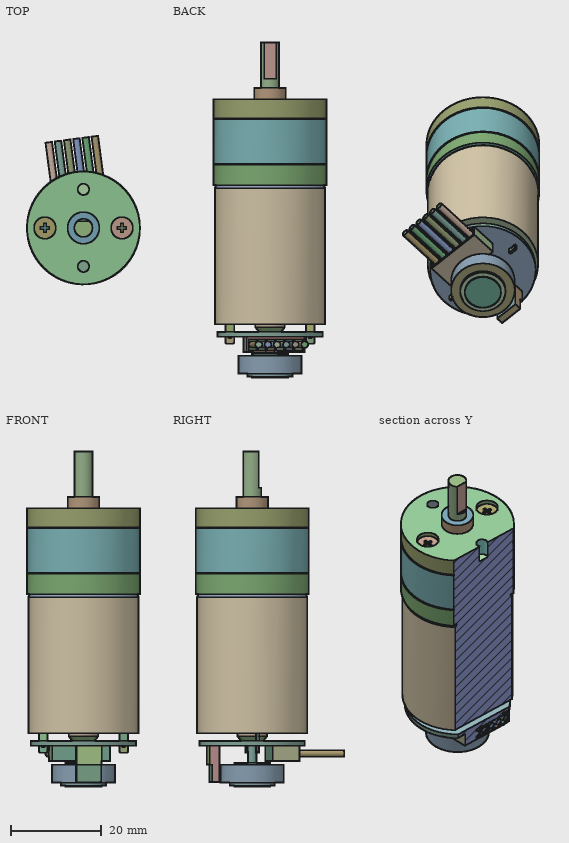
import cadquery as cq
import math


shaft_diameter = 4.0
shaft_length = 12.5
shaft_flat_depth = 0.5
shaft_flat_length = 8.0
boss_diameter = 7.0
boss_height = 2.5

gearbox_diameter = 25.0
gearbox_length = 19.0
front_plate_thickness = 4.3
gear_ring_length = 10.1
joint_width = 0.2
joint_depth = 0.1

hole_circle_radius = 8.5
mount_hole_diameter = 2.5
screw_recess_diameter = 4.8
screw_recess_depth = 1.0
cross_length = 2.0
cross_width = 0.5
cross_depth = 0.5

can_diameter = 24.4
can_bottom_z = -49.7
can_shoulder_height = 0.7
can_shoulder_inset = 0.3
bearing_diameter = 6.6
bearing_rim_height = 0.6
bearing_tip_diameter = 5.0

board_angle = 7.5
board_diameter = 23.3
board_top_z = -51.35
board_thickness = 1.15
board_bottom_z = board_top_z - board_thickness

terminal_radius = 8.95
terminal_width = 1.9
terminal_thickness = 0.5
terminal_protrusion = 1.5
terminal_eye_diameter = 0.9
terminal_eye_rise = 0.2
terminal_corner = 0.2

connector_width = 12.85
connector_depth = 6.0
connector_height = 3.35
connector_center_y = 6.7
wire_count = 6
wire_pitch = 2.05
wire_diameter = 1.5
socket_width = 1.75
socket_height = 2.4
socket_depth = 1.0
overall_depth = 32.85

sensor_width = 5.5
sensor_inner_y = -7.6
sensor_depth = 2.2
sensor_tip_depth = 1.6
sensor_step_z = -56.6
sensor_bottom_z = -60.45

rear_shaft_diameter = 1.9
magnet_diameter = 14.0
magnet_top_z = -56.6
magnet_bottom_z = -60.6
hub_diameter = 8.0
hub_top_z = -56.2
hub_bottom_z = -61.5
washer_diameter = 10.0
washer_bottom_z = -61.25


def cylinder(diameter, bottom_z, top_z):
    """Upright cylinder on the motor axis."""
    height = top_z - bottom_z
    return cq.Workplane("XY").workplane(offset=bottom_z).circle(diameter / 2).extrude(height)


def block(size_x, y_min, y_max, bottom_z, top_z):
    """Rectangular block centred on x = 0."""
    size_y = y_max - y_min
    size_z = top_z - bottom_z
    corner = (-size_x / 2, y_min, bottom_z)
    return cq.Workplane("XY").box(size_x, size_y, size_z, centered=False).translate(corner)


def make_output_shaft():
    shaft = cylinder(shaft_diameter, 0, shaft_length)
    flat_y = shaft_diameter / 2 - shaft_flat_depth
    flat_start_z = shaft_length - shaft_flat_length
    flat = block(shaft_diameter, flat_y, shaft_diameter, flat_start_z, shaft_length)
    return shaft.cut(flat).union(cylinder(boss_diameter, 0, boss_height))


def cut_screw_recess(body, x):
    """Round recess whose floor is a screw head with a cross-shaped drive slot."""
    floor_z = -screw_recess_depth
    recess = cylinder(screw_recess_diameter, floor_z, 0)
    half_width = cross_width / 2
    half_length = cross_length / 2
    slot_bottom_z = floor_z - cross_depth
    recess = recess.union(block(cross_length, -half_width, half_width, slot_bottom_z, floor_z))
    recess = recess.union(block(cross_width, -half_length, half_length, slot_bottom_z, floor_z))
    return body.cut(recess.translate((x, 0, 0)))


def make_gearbox():
    body = cylinder(gearbox_diameter, -gearbox_length, 0)
    core_diameter = gearbox_diameter - 2 * joint_depth
    for joint_z in (-front_plate_thickness, -front_plate_thickness - gear_ring_length):
        top_z = joint_z + joint_width / 2
        bottom_z = joint_z - joint_width / 2
        core = cylinder(core_diameter, bottom_z, top_z)
        body = body.cut(cylinder(gearbox_diameter, bottom_z, top_z).cut(core))
    for side in (-1, 1):
        hole = cylinder(mount_hole_diameter, -front_plate_thickness, 0)
        body = body.cut(hole.translate((0, side * hole_circle_radius, 0)))
        body = cut_screw_recess(body, side * hole_circle_radius)
    return body


def make_motor_can():
    """Can with a sloped top shoulder and a tapered rear bearing housing, as one turned profile."""
    can_radius = can_diameter / 2
    bearing_radius = bearing_diameter / 2
    bearing_rim_z = can_bottom_z - bearing_rim_height
    profile = [
        (0, -gearbox_length),
        (can_radius - can_shoulder_inset, -gearbox_length),
        (can_radius, -gearbox_length - can_shoulder_height),
        (can_radius, can_bottom_z),
        (bearing_radius, can_bottom_z),
        (bearing_radius, bearing_rim_z),
        (bearing_tip_diameter / 2, board_top_z),
        (0, board_top_z),
    ]
    return cq.Workplane("XZ").polyline(profile).close().revolve(360, (0, 0), (0, 1))


def make_terminal(x):
    """Blade with a solder eye; the board fills the eye where it covers it."""
    half_thickness = terminal_thickness / 2
    bottom_z = board_bottom_z - terminal_protrusion
    blade = block(terminal_width, -half_thickness, half_thickness, bottom_z, can_bottom_z)
    blade = blade.faces("<Z").edges("|Y").chamfer(terminal_corner)
    eye_start = cq.Vector(0, -terminal_thickness, board_bottom_z + terminal_eye_rise)
    eye_axis = cq.Vector(0, 1, 0)
    eye = cq.Solid.makeCylinder(terminal_eye_diameter / 2, 2 * terminal_thickness, eye_start, eye_axis)
    return blade.cut(cq.Workplane(eye)).translate((x, 0, 0))


def make_connector():
    """Housing with one rectangular socket per wire in its back face."""
    back_y = connector_center_y + connector_depth / 2
    front_y = connector_center_y - connector_depth / 2
    bottom_z = board_bottom_z - connector_height
    housing = block(connector_width, front_y, back_y, bottom_z, board_bottom_z)

    angle = math.radians(board_angle)
    last_x = wire_pitch * (wire_count - 1) / 2
    corner_x = last_x + wire_diameter / 2
    wire_end_y = (overall_depth - gearbox_diameter / 2 - corner_x * math.sin(angle)) / math.cos(angle)
    wire_z = board_bottom_z - connector_height / 2
    wire_length = wire_end_y - connector_center_y
    socket_bottom_z = wire_z - socket_height / 2
    socket_top_z = wire_z + socket_height / 2
    for i in range(wire_count):
        wire_x = i * wire_pitch - last_x
        socket = block(socket_width, back_y - socket_depth, back_y, socket_bottom_z, socket_top_z)
        housing = housing.cut(socket.translate((wire_x, 0, 0)))
        start = cq.Vector(wire_x, connector_center_y, wire_z)
        wire = cq.Solid.makeCylinder(wire_diameter / 2, wire_length, start, cq.Vector(0, 1, 0))
        housing = housing.union(cq.Workplane(wire))
    return housing


def make_hall_sensor():
    root_y = sensor_inner_y - sensor_depth
    tip_y = sensor_inner_y - sensor_tip_depth
    root = block(sensor_width, root_y, sensor_inner_y, sensor_step_z, board_bottom_z)
    tip = block(sensor_width, tip_y, sensor_inner_y, sensor_bottom_z, sensor_step_z)
    return root.union(tip)


def make_encoder_board():
    board = cylinder(board_diameter, board_bottom_z, board_top_z)
    for side in (-1, 1):
        board = board.union(make_terminal(side * terminal_radius))
    board = board.union(make_connector()).union(make_hall_sensor())
    return board.rotate((0, 0, 0), (0, 0, 1), board_angle)


def make_encoder_magnet():
    magnet = cylinder(magnet_diameter, magnet_bottom_z, magnet_top_z)
    hub = cylinder(hub_diameter, hub_bottom_z, hub_top_z)
    washer = cylinder(washer_diameter, washer_bottom_z, magnet_bottom_z)
    rear_shaft = cylinder(rear_shaft_diameter, hub_top_z, board_bottom_z)
    return magnet.union(hub).union(washer).union(rear_shaft)


result = make_gearbox().union(make_output_shaft()).union(make_motor_can())
result = result.union(make_encoder_board()).union(make_encoder_magnet())